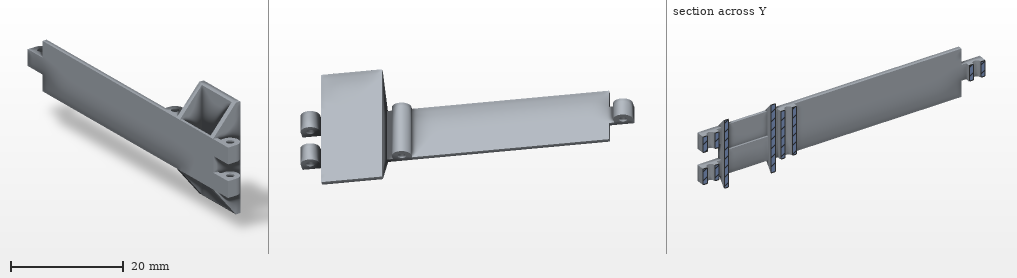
import cadquery as cq

length = 60.0
plate_height = 9.9
plate_thickness = 0.9
knuckle_height = 3.3
tab_length = 4.45
notch_depth = tab_length

lug_radius = 1.75
lug_axis_y = lug_radius
bore_diameter = 1.5
tab_lug_x = lug_radius
middle_lug_x = 41.75
notch_lug_x = length - lug_radius

scoop_start_x = 44.5
scoop_width = 11.0
scoop_depth = 6.0
side_wall = 1.0
back_wall = 1.15
end_flat = 0.95
rise_above_plate = 5.7
drop_below_plate = 6.3
inside_start_x = scoop_start_x + side_wall
inside_end_x = scoop_start_x + scoop_width - side_wall

thinned_plate = 0.55


def block(x_start, x_end, y_start, y_end, z_start, z_end):
    """Box given by its limits along each axis."""
    size = (x_end - x_start, y_end - y_start, z_end - z_start)
    return cq.Workplane("XY").box(*size, centered=False).translate((x_start, y_start, z_start))


def cylinder_z(x, radius, height):
    """Cylinder on a lug axis, centred on Z = 0."""
    base_plane = cq.Workplane("XY", origin=(x, lug_axis_y, -height / 2))
    return base_plane.circle(radius).extrude(height)


def lug(x, height):
    """Round-topped lug whose straight sides reach the outer plate face."""
    base = block(x - lug_radius, x + lug_radius, 0, lug_axis_y, -height / 2, height / 2)
    return base.union(cylinder_z(x, lug_radius, height))


def scoop():
    """Sloping-sided tube that is open at both Z ends."""
    half_height = plate_height / 2
    top = half_height + rise_above_plate
    bottom = -half_height - drop_below_plate
    slope_end_y = scoop_depth - end_flat
    side_profile = [
        (0, -half_height),
        (slope_end_y, bottom),
        (scoop_depth, bottom),
        (scoop_depth, top),
        (slope_end_y, top),
        (0, half_height),
    ]
    body = cq.Workplane("YZ").polyline(side_profile).close().extrude(scoop_width)
    body = body.translate((scoop_start_x, 0, 0))
    cavity = block(inside_start_x, inside_end_x, 0, scoop_depth - back_wall, bottom, top)
    return body.cut(cavity)


half_plate = plate_height / 2
half_knuckle = knuckle_height / 2

plate = block(tab_length, length, 0, plate_thickness, -half_plate, half_plate)
tab = block(0, tab_length, 0, plate_thickness, -half_knuckle, half_knuckle)
plate_recess = block(
    inside_start_x, inside_end_x, thinned_plate, plate_thickness, 0, half_plate,
)
result = plate.union(tab).union(scoop()).cut(plate_recess)

for lug_x, lug_height in (
    (tab_lug_x, knuckle_height),
    (middle_lug_x, plate_height),
    (notch_lug_x, plate_height),
):
    result = result.union(lug(lug_x, lug_height))
    result = result.cut(cylinder_z(lug_x, bore_diameter / 2, lug_height))

notch = block(
    length - notch_depth, length, 0, lug_axis_y + lug_radius, -half_knuckle, half_knuckle,
)
result = result.cut(notch)